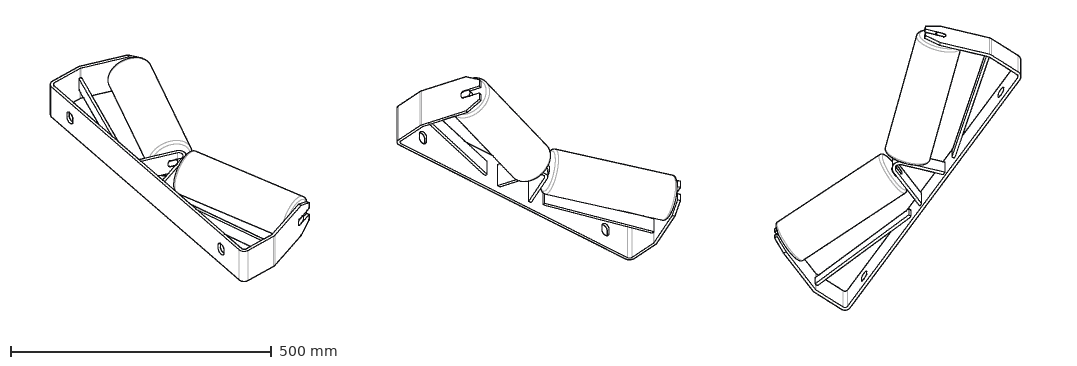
import cadquery as cq
import math

frame_length = 600.0
frame_width = 80.5
sheet = 6.0
bend_radius = 12.0
bend_height = 77.0
tilt = 20.0
wing_length = 128.5
wing_chamfer_length = 29.5
wing_chamfer_width = 17.5

mount_slot_x = 232.0
mount_slot_length = 27.0
mount_slot_width = 18.0

roller_diameter = 89.0
roller_fillet = 5.0
roller_y = 122.5
roller_length = 250.0
end_gap = 5.0
shaft_diameter = 20.0
shaft_flat_width = 14.0
notch_width = 16.0

bracket_width = 50.0
bracket_bend_radius = 14.5

brace_width = 30.0
brace_top = 78.0
brace_tip_x = 73.0
brace_tip_y = 11.0

half_length = frame_length / 2
lean = math.radians(tilt)
seat = roller_length / 2 + end_gap
shaft_end = seat + sheet
roller_x = half_length - (shaft_end + (roller_y - bend_height) * math.sin(lean)) / math.cos(lean)


def on_roller(along, up):
    """Point (x, y) of the left roller: along its axis to the middle, and square to it."""
    x = -roller_x + along * math.cos(lean) + up * math.sin(lean)
    y = roller_y - along * math.sin(lean) + up * math.cos(lean)
    return x, y


def mirrored(body):
    """Copy of a left-hand body on the right."""
    return body.mirror("YZ")


def left_cross_plane(x, y):
    """Plane through (x, y) square to the left roller axis: local y points up along the wing."""
    return cq.Plane(
        origin=(x, y, 0),
        xDir=(0, 0, -1),
        normal=(math.cos(lean), -math.sin(lean), 0),
    )


def left_roller_plane(along):
    """Cross plane centred on the left roller axis."""
    return left_cross_plane(*on_roller(along, 0))


def flat_sided_disc(plane, width, depth):
    """Disc of the shaft diameter with flats facing +Z and -Z, the given width apart."""
    disc = cq.Workplane(plane).circle(shaft_diameter / 2).extrude(depth)
    return disc.intersect(cq.Workplane(plane).rect(width, shaft_diameter).extrude(depth))


def notch(along, height):
    """Cutter for a shaft slot, running from the shaft seat up past the given height."""
    plane = left_roller_plane(along)
    channel = cq.Workplane(plane).rect(notch_width, height, centered=(True, False)).extrude(sheet)
    return flat_sided_disc(plane, notch_width, sheet).union(channel)


def make_frame():
    tip_x = half_length - wing_length * math.sin(lean)
    tip_y = bend_height + wing_length * math.cos(lean)
    inner_half = half_length - sheet
    inner_bend = bend_height - sheet * math.tan(lean / 2)
    inner_tip_x = tip_x - sheet * math.cos(lean)
    inner_tip_y = tip_y - sheet * math.sin(lean)
    right_half = [
        (half_length, 0),
        (half_length, bend_height),
        (tip_x, tip_y),
        (inner_tip_x, inner_tip_y),
        (inner_half, inner_bend),
        (inner_half, sheet),
    ]
    left_half = [(-x, y) for x, y in reversed(right_half)]
    strip = (
        cq.Workplane("XY")
        .polyline(right_half + left_half)
        .close()
        .extrude(frame_width / 2, both=True)
    )

    def bend_edges(points):
        return [
            cq.selectors.NearestToPointSelector((side * x, y, 0))
            for side in (-1, 1)
            for x, y in points
        ]

    outer_bends = bend_edges([(half_length, 0), (half_length, bend_height)])
    inner_bends = bend_edges([(inner_half, sheet), (inner_half, inner_bend)])
    for bends, radius in ((outer_bends, bend_radius), (inner_bends, bend_radius - sheet)):
        for bend in bends:
            strip = strip.edges("|Z").edges(bend).fillet(radius)

    strip = strip.cut(wing_corners(tip_x, tip_y))
    left_notch = notch(-shaft_end, wing_length)
    strip = strip.cut(left_notch).cut(mirrored(left_notch))
    mount_slots = (
        cq.Workplane("XZ")
        .pushPoints([(-mount_slot_x, 0), (mount_slot_x, 0)])
        .slot2D(mount_slot_length, mount_slot_width, 90)
        .extrude(-sheet)
    )
    return strip.cut(mount_slots)


def wing_corners(tip_x, tip_y):
    """Cutter for the slanted corners at the tips of both wings."""
    half_width = frame_width / 2
    corner = (
        cq.Workplane(left_cross_plane(-tip_x, tip_y))
        .polyline([
            (half_width, 0),
            (half_width, -wing_chamfer_length),
            (half_width - wing_chamfer_width, 0),
        ])
        .close()
        .extrude(sheet)
    )
    corners = corner.union(corner.mirror("XY"))
    return corners.union(mirrored(corners))


def make_bracket():
    seat_x, seat_y = on_roller(seat, 0)
    apex = seat_y - seat_x / math.tan(lean)
    inner_apex = apex - sheet / math.sin(lean)
    foot = (apex - sheet) * math.tan(lean)
    inner_foot = (inner_apex - sheet) * math.tan(lean)
    bracket = (
        cq.Workplane("XY")
        .polyline([
            (-foot, sheet), (0, apex), (foot, sheet),
            (inner_foot, sheet), (0, inner_apex), (-inner_foot, sheet),
        ])
        .close()
        .extrude(bracket_width / 2, both=True)
    )
    for y, radius in ((apex, bracket_bend_radius), (inner_apex, bracket_bend_radius - sheet)):
        top = cq.selectors.NearestToPointSelector((0, y, 0))
        bracket = bracket.edges("|Z").edges(top).fillet(radius)
    left_notch = notch(seat, roller_diameter)
    return bracket.cut(left_notch).cut(mirrored(left_notch))


def make_left_brace(frame):
    wall_x = half_length - sheet
    slope = math.atan2(brace_top - brace_tip_y, wall_x - brace_tip_x)
    drop = sheet / math.cos(slope)
    bar = (
        cq.Workplane("XY")
        .polyline([
            (-wall_x, brace_top),
            (-brace_tip_x, brace_tip_y),
            (-brace_tip_x, brace_tip_y - drop),
            (-wall_x, brace_top - drop),
        ])
        .close()
        .extrude(brace_width / 2, both=True)
    )
    return bar.cut(frame)


def make_left_roller():
    tube = (
        cq.Workplane(left_roller_plane(-roller_length / 2))
        .circle(roller_diameter / 2)
        .extrude(roller_length)
        .edges()
        .fillet(roller_fillet)
    )
    shaft = cq.Workplane(left_roller_plane(-seat)).circle(shaft_diameter / 2).extrude(2 * seat)
    flats = flat_sided_disc(left_roller_plane(-shaft_end), shaft_flat_width, 2 * shaft_end)
    return tube.union(shaft).union(flats)


frame = make_frame()
bracket = make_bracket()
left_brace = make_left_brace(frame)
braces = [left_brace, mirrored(left_brace)]
left_roller = make_left_roller()
rollers = [left_roller, mirrored(left_roller)]

result = cq.Compound.makeCompound(
    [frame.val(), bracket.val()] + [body.val() for body in braces + rollers]
)